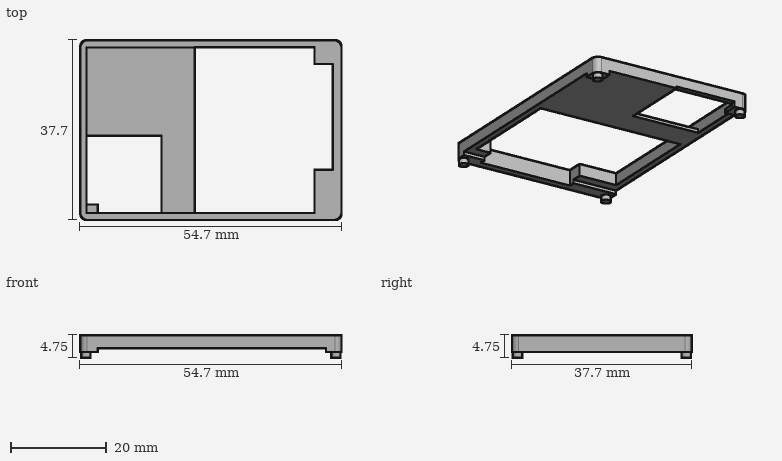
import cadquery as cq

length = 54.7
width = 37.7
height = 4.75
corner_radius = 1.4

pin_height = 1.2
foot_height = 0.8
floor_thickness = 0.8
wall_notch_height = 0.4
foot_bottom = pin_height
rim_bottom = foot_bottom + foot_height
floor_top = rim_bottom + floor_thickness
wall_notch_top = rim_bottom + wall_notch_height

left_wall = 1.35
right_wall = 1.85
side_wall = 1.55
opening_left = -length / 2 + left_wall
opening_right = length / 2 - right_wall
opening_back = width / 2 - side_wall
opening_front = -opening_back

block_left = 21.65
back_block_front = 13.8
front_block_back = -8.25

floor_right = -3.35
window_right = -10.35
window_back = -1.2

left_foot_length = 3.7
right_foot_length = 3.3
left_foot_right = -length / 2 + left_foot_length
right_foot_left = length / 2 - right_foot_length
front_foot_back = -15.55
back_foot_front = 15.4

pin_diameter = 2.0
pin_inset = 1.2


def box(x_range, y_range, z_range):
    """Box spanning the given (low, high) limits along each axis."""
    lows, highs = zip(x_range, y_range, z_range)
    sizes = [high - low for low, high in zip(lows, highs)]
    return cq.Workplane("XY").box(*sizes, centered=False).translate(lows)


body_levels = (foot_bottom, height)
body = (
    cq.Workplane("XY", origin=(0, 0, foot_bottom))
    .rect(length, width)
    .extrude(height - foot_bottom)
    .edges("|Z")
    .fillet(corner_radius)
)

body = body.cut(box((floor_right, block_left), (opening_front, opening_back), body_levels))
body = body.cut(box((block_left, opening_right), (front_block_back, back_block_front), body_levels))

body = body.cut(box((opening_left, floor_right), (opening_front, opening_back), (floor_top, height)))

foot_levels = (foot_bottom, rim_bottom)
floor_levels = (rim_bottom, floor_top)
wall_notch_levels = (rim_bottom, wall_notch_top)
body = body.cut(box((opening_left, window_right), (opening_front, window_back), floor_levels))

body = body.cut(box((-length / 2, opening_left), (front_foot_back, window_back), wall_notch_levels))

body = body.cut(box((left_foot_right, right_foot_left), (-width / 2, width / 2), foot_levels))
body = body.cut(box((-length / 2, left_foot_right), (front_foot_back, back_foot_front), foot_levels))

pins = (
    cq.Workplane("XY")
    .rect(length - 2 * pin_inset, width - 2 * pin_inset, forConstruction=True)
    .vertices()
    .circle(pin_diameter / 2)
    .extrude(pin_height)
)

result = body.union(pins)